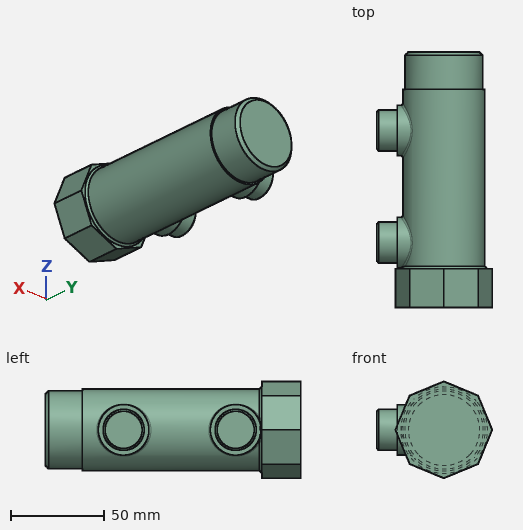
import cadquery as cq

total_length = 137.0
overall_width = 61.9
nut_corner_diameter = 51.9
nut_sides = 8
nut_length = 21.0

body_diameter = 44.0
spigot_diameter = 41.9
spigot_length = 20.0
spigot_chamfer = 1.9
collar_size = 1.2

outlet_reach = overall_width - nut_corner_diameter / 2
outlet_diameter = 22.0
outlet_chamfer = 1.1
flange_reach = 25.1
flange_diameter = 27.1
flange_fillet = 1.0
first_outlet_y = 35.0
outlet_pitch = 60.0
outlet_count = 2

body_radius = body_diameter / 2
spigot_start = total_length - spigot_length


def cylinder_along_y(diameter, start, end):
    """Solid cylinder on the main axis between two Y positions."""
    plane = cq.Workplane("XZ", origin=(0, start, 0))
    return plane.circle(diameter / 2).extrude(start - end)


def cylinder_toward_outlet(diameter, y, reach):
    """Solid cylinder from the main axis out to the given reach along -X."""
    plane = cq.Workplane("YZ", origin=(0, y, 0))
    return plane.circle(diameter / 2).extrude(-reach)


def make_nut():
    """Octagonal head with corners on the X and Z axes."""
    return cq.Workplane("XZ").polygon(nut_sides, nut_corner_diameter).extrude(-nut_length)


def make_collar():
    """Conical transition from the nut face to the barrel."""
    collar_end = nut_length + collar_size
    profile = [
        (0, nut_length),
        (body_radius + collar_size, nut_length),
        (body_radius, collar_end),
        (0, collar_end),
    ]
    return cq.Workplane("XY").polyline(profile).close().revolve(360, (0, 0), (0, 1))


def make_spigot():
    """Reduced end with a chamfered rim."""
    spigot = cylinder_along_y(spigot_diameter, spigot_start, total_length)
    return spigot.faces(">Y").edges().chamfer(spigot_chamfer)


def make_outlet(y):
    """Chamfered outlet stub that stands on the flange."""
    stub = cylinder_toward_outlet(outlet_diameter, y, outlet_reach)
    return stub.faces("<X").edges().chamfer(outlet_chamfer)


outlet_positions = [first_outlet_y + i * outlet_pitch for i in range(outlet_count)]

barrel = cylinder_along_y(body_diameter, 0, spigot_start)
for outlet_y in outlet_positions:
    barrel = barrel.union(cylinder_toward_outlet(flange_diameter, outlet_y, flange_reach))

flange_roots = cq.selectors.BoxSelector(
    (-flange_reach + flange_fillet, first_outlet_y - flange_diameter, -flange_diameter),
    (0, outlet_positions[-1] + flange_diameter / 2, flange_diameter),
)
barrel = barrel.edges(flange_roots).edges("not %LINE").fillet(flange_fillet)

result = barrel.union(make_nut()).union(make_collar()).union(make_spigot())
for outlet_y in outlet_positions:
    result = result.union(make_outlet(outlet_y))